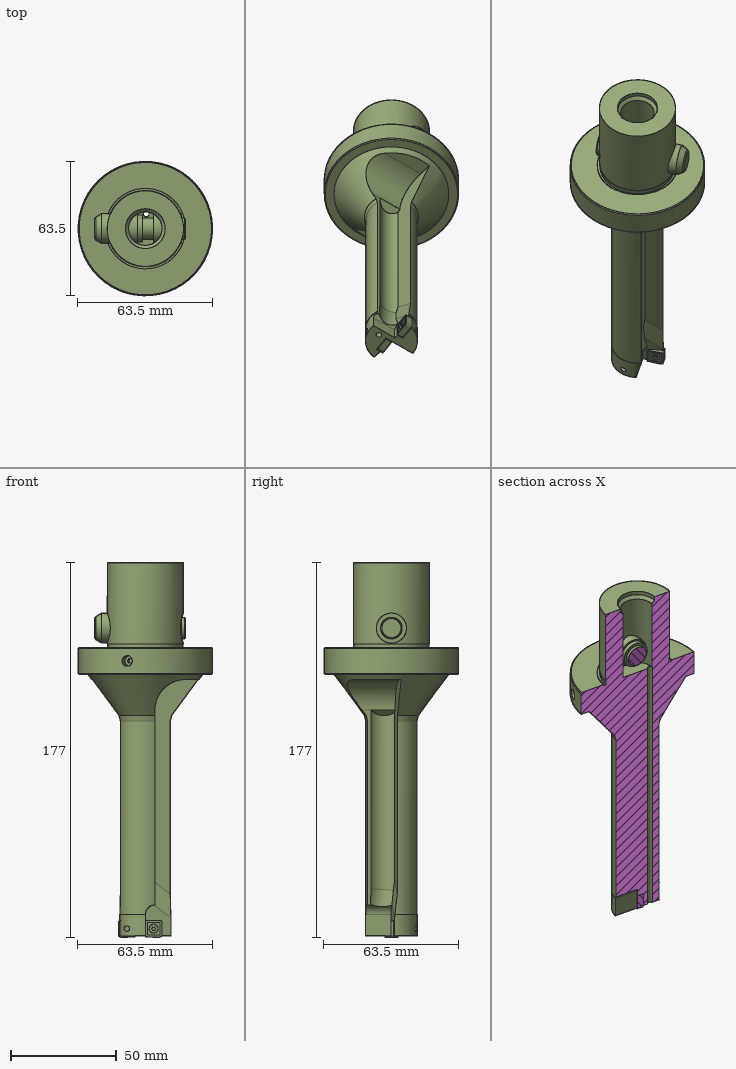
import cadquery as cq
import math

FAR = 60.0

coupling_radius = 18.0
coupling_height = 40.0
neck_radius = 17.8
neck_height = 1.6
face_groove_radius = 19.0
face_groove_depth = 0.6
bore_radius = 7.9
bore_mouth_radius = 9.4
bore_mouth_depth = 2.0
bore_floor_z = 0.0

flange_radius = 31.75
flange_thickness = 12.8
flange_chamfer = 0.5
cone_top_radius = 27.1
cone_bottom_radius = 12.8
cone_bottom_z = -32.1
shank_top_z = -34.7

shank_radius = 12.15
head_radius = 12.25
head_top_z = -126.2
tip_z = -136.2

flute_wall_x = 4.55
flute_top_z = -15.2
flute_runout_radius = 14.3
flute_floor_y = 1.1
flute_floor_slope = math.tan(math.radians(8.0))
ramp_top_z = -111.0
ramp_length = 11.0
ramp_rise = 1.3
ramp_skew = 0.76
channel_radius = 7.2
channel_depth = 3.4
channel_y = -3.5
channel_top_z = flute_top_z - flute_runout_radius
channel_end_drop = 2.7
channel_bend_z = -114.0
channel_side_shift = 1.7
channel_outward_shift = 1.6

inner_tip_wall_x = 0.0
inner_tip_pocket_z = -126.2
outer_tip_wall_x = 2.5
outer_tip_pocket_z = -129.6

coolant_radius = 1.3
coolant_x = 0.4
coolant_y = 6.9

set_screw_radius = 2.5
set_screw_angle = 15.7
set_screw_z = -6.4
set_hole_depth = 12.0
set_screw_length = 7.0
set_socket_size = 2.5
set_socket_depth = 2.0

pin_z = 9.1
pin_radius = 7.1
pin_left_x = -24.0
pin_tip_radius = 4.7
pin_tip_chamfer = 0.6
pin_cone_radius = 5.5
pin_cone_length = 3.4
pin_shoulder_x = -3.6
pin_stem_radius = 5.1
pin_right_x = 19.0
pin_stem_chamfer = 0.6
ring_width = 2.2
ring_radius = 6.4
bush_left_x = 3.8
bush_right_x = 17.0

insert_size = 7.8
insert_thickness = 3.3
insert_face_y = -0.2
insert_top_z = -128.9
insert_corner = 0.8
insert_peak = 0.3
insert_peak_place = 0.8
breaker_margin = 0.9
breaker_depth = 0.25
inner_insert_x = inner_tip_wall_x
outer_insert_reach = 12.6
insert_screw_radius = 1.3
insert_screw_head_radius = 2.1
insert_screw_head_height = 1.4
insert_screw_length = 6.5
insert_socket_size = 1.8
insert_socket_depth = 0.8


def half_turn(part):
    return part.rotate((0, 0, 0), (0, 0, 1), 180)


def turned_blank():
    """Coupling, flange, cone and drill shank, turned about Z."""
    return (
        cq.Workplane("XZ")
        .moveTo(0, coupling_height)
        .lineTo(coupling_radius, coupling_height)
        .lineTo(coupling_radius, neck_height)
        .lineTo(neck_radius, neck_height)
        .lineTo(neck_radius, -face_groove_depth)
        .lineTo(face_groove_radius, -face_groove_depth)
        .lineTo(face_groove_radius, 0)
        .lineTo(flange_radius - flange_chamfer, 0)
        .lineTo(flange_radius, -flange_chamfer)
        .lineTo(flange_radius, flange_chamfer - flange_thickness)
        .lineTo(flange_radius - flange_chamfer, -flange_thickness)
        .lineTo(cone_top_radius, -flange_thickness)
        .lineTo(cone_bottom_radius, cone_bottom_z)
        .lineTo(shank_radius, shank_top_z)
        .lineTo(shank_radius, head_top_z)
        .lineTo(head_radius, head_top_z)
        .lineTo(head_radius, tip_z)
        .lineTo(0, tip_z)
        .close()
        .revolve(360, (0, 0, 0), (0, 1, 0))
    )


def bore():
    """Stepped bore with a conical seat below its mouth."""
    seat_z = coupling_height - bore_mouth_depth
    return (
        cq.Workplane("XZ")
        .moveTo(0, coupling_height)
        .lineTo(bore_mouth_radius, coupling_height)
        .lineTo(bore_mouth_radius, seat_z)
        .lineTo(bore_radius, seat_z - (bore_mouth_radius - bore_radius))
        .lineTo(bore_radius, bore_floor_z)
        .lineTo(0, bore_floor_z)
        .close()
        .revolve(360, (0, 0, 0), (0, 1, 0))
    )


def flute_walls(tip_wall_x, tip_pocket_z):
    """Everything beyond the flute's wall, with its runout and the wider pocket at the tip."""
    runout_start_z = flute_top_z - flute_runout_radius
    diagonal = 1 - math.sqrt(0.5)
    roof_radius = flute_wall_x - tip_wall_x
    roof_top_z = tip_pocket_z + roof_radius
    return (
        cq.Workplane("XZ")
        .moveTo(FAR, flute_top_z)
        .lineTo(flute_wall_x + flute_runout_radius, flute_top_z)
        .threePointArc(
            (flute_wall_x + flute_runout_radius * diagonal, flute_top_z - flute_runout_radius * diagonal),
            (flute_wall_x, runout_start_z),
        )
        .lineTo(flute_wall_x, roof_top_z)
        .threePointArc(
            (tip_wall_x + roof_radius * diagonal, roof_top_z - roof_radius * diagonal),
            (tip_wall_x, tip_pocket_z),
        )
        .lineTo(tip_wall_x, tip_z)
        .lineTo(FAR, tip_z)
        .close()
        .extrude(FAR, both=True)
    )


def flute_channel():
    """Round channel sunk into the flute wall, sloping out on top and tilting away near the tip."""
    deepest_x = flute_wall_x - channel_depth
    center_x = deepest_x + channel_radius
    path = cq.Wire.makePolygon(
        [
            cq.Vector(center_x, channel_y, channel_top_z),
            cq.Vector(center_x, channel_y, channel_bend_z),
            cq.Vector(
                center_x + channel_outward_shift,
                channel_y - channel_side_shift,
                outer_tip_pocket_z,
            ),
        ]
    )
    round_bar = (
        cq.Workplane("XY", origin=(center_x, channel_y, channel_top_z))
        .circle(channel_radius)
        .sweep(cq.Workplane(path), transition="right")
    )
    sloped_end = (
        cq.Workplane("XZ")
        .moveTo(deepest_x, tip_z)
        .lineTo(deepest_x, channel_top_z - channel_end_drop)
        .lineTo(flute_wall_x, channel_top_z)
        .lineTo(FAR, channel_top_z)
        .lineTo(FAR, tip_z)
        .close()
        .extrude(FAR, both=True)
    )
    return round_bar.intersect(sloped_end)


def open_side(floor_y, slope_x, slope_z):
    """Block on the -Y side of a plane with the given height at the flute wall and ramp start."""
    plane = cq.Plane(
        origin=(flute_wall_x, floor_y, ramp_top_z), xDir=(1, slope_x, 0), normal=(slope_x, -1, slope_z)
    )
    return cq.Workplane(plane).rect(4 * FAR, 4 * FAR).extrude(2 * FAR)


def above_floor():
    """Everything on the open side of the tilted flute floor, which ramps up near the tip."""
    wall_floor_y = flute_floor_y + flute_floor_slope * flute_wall_x
    ramp_slope = ramp_rise / ramp_length
    upper = open_side(wall_floor_y, flute_floor_slope, 0)
    ramp = open_side(wall_floor_y, flute_floor_slope + ramp_skew * ramp_slope, ramp_slope)
    tip = open_side(wall_floor_y - ramp_rise, flute_floor_slope, 0)
    return upper.intersect(ramp.union(tip))


def flute(tip_wall_x, tip_pocket_z):
    return flute_walls(tip_wall_x, tip_pocket_z).union(flute_channel()).intersect(above_floor())


def coolant_hole():
    return (
        cq.Workplane("XY", origin=(coolant_x, coolant_y, tip_z))
        .circle(coolant_radius)
        .extrude(bore_floor_z - tip_z)
    )


def set_screw_cylinder(outer_end, length):
    """Cylinder on the flange hole's axis, running inwards from outer_end."""
    return (
        cq.Workplane("XZ", origin=(0, -outer_end, set_screw_z))
        .circle(set_screw_radius)
        .extrude(-length)
        .rotate((0, 0, 0), (0, 0, 1), -set_screw_angle)
    )


def make_set_screw():
    inner_end = flange_radius - set_hole_depth
    outer_end = inner_end + set_screw_length
    socket = (
        cq.Workplane("XZ", origin=(0, -outer_end, set_screw_z))
        .polygon(6, set_socket_size)
        .extrude(-set_socket_depth)
        .rotate((0, 0, 0), (0, 0, 1), -set_screw_angle)
    )
    return set_screw_cylinder(outer_end, set_screw_length).cut(socket)


def cross_cylinder(left_x, right_x, radius):
    return cq.Workplane("YZ", origin=(left_x, 0, pin_z)).circle(radius).extrude(right_x - left_x)


def make_pin():
    """Cross pin with a coned head at -X and a slimmer stem towards +X."""
    return (
        cq.Workplane("XZ")
        .moveTo(pin_left_x, pin_z)
        .lineTo(pin_left_x, pin_z + pin_tip_radius)
        .lineTo(pin_left_x + pin_tip_chamfer, pin_z + pin_cone_radius)
        .lineTo(pin_left_x + pin_cone_length, pin_z + pin_radius)
        .lineTo(pin_shoulder_x, pin_z + pin_radius)
        .lineTo(pin_shoulder_x, pin_z + pin_stem_radius)
        .lineTo(pin_right_x - pin_stem_chamfer, pin_z + pin_stem_radius)
        .lineTo(pin_right_x, pin_z + pin_stem_radius - pin_stem_chamfer)
        .lineTo(pin_right_x, pin_z)
        .close()
        .revolve(360, (0, pin_z, 0), (1, pin_z, 0))
    )


def make_ring():
    ring_right_x = pin_shoulder_x + ring_width
    hole = cross_cylinder(pin_shoulder_x, ring_right_x, pin_stem_radius)
    return cross_cylinder(pin_shoulder_x, ring_right_x, ring_radius).cut(hole)


def make_bush():
    hole = cross_cylinder(bush_left_x, bush_right_x, pin_stem_radius)
    return cross_cylinder(bush_left_x, bush_right_x, pin_radius).cut(hole)


def insert_blank(left_x):
    """Insert for the +X flute, cutting face towards -Y and a peaked edge at the tip."""
    right_x = left_x + insert_size
    edge_z = insert_top_z - insert_size
    return (
        cq.Workplane("XZ", origin=(0, insert_face_y, 0))
        .moveTo(left_x, insert_top_z)
        .lineTo(right_x, insert_top_z)
        .lineTo(right_x, edge_z)
        .lineTo(left_x + insert_peak_place * insert_size, edge_z - insert_peak)
        .lineTo(left_x, edge_z)
        .close()
        .extrude(-insert_thickness)
        .edges("|Y and (>Z or >X)")
        .fillet(insert_corner)
    )


def insert_screw_shape(left_x, length):
    """Countersunk screw on the insert's axis, its head flush with the chip breaker floor."""
    head_y = insert_face_y + breaker_depth
    neck_y = head_y + insert_screw_head_height
    center_x = left_x + insert_size / 2
    return (
        cq.Workplane("XY", origin=(center_x, 0, insert_top_z - insert_size / 2))
        .moveTo(0, head_y)
        .lineTo(insert_screw_head_radius, head_y)
        .lineTo(insert_screw_radius, neck_y)
        .lineTo(insert_screw_radius, head_y + length)
        .lineTo(0, head_y + length)
        .close()
        .revolve(360, (0, 0, 0), (0, 1, 0))
    )


def make_insert(left_x):
    breaker_size = insert_size - 2 * breaker_margin
    breaker = (
        cq.Workplane("XZ", origin=(left_x + insert_size / 2, insert_face_y, insert_top_z - insert_size / 2))
        .rect(breaker_size, breaker_size)
        .extrude(-breaker_depth)
    )
    return insert_blank(left_x).cut(breaker).cut(insert_screw_shape(left_x, FAR))


def make_insert_screw(left_x):
    socket = (
        cq.Workplane(
            "XZ",
            origin=(left_x + insert_size / 2, insert_face_y + breaker_depth, insert_top_z - insert_size / 2),
        )
        .polygon(6, insert_socket_size)
        .extrude(-insert_socket_depth)
    )
    return insert_screw_shape(left_x, insert_screw_length).cut(socket)


def insert_seat(left_x):
    """Recess for an insert together with the through hole of its screw."""
    return insert_blank(left_x).union(insert_screw_shape(left_x, FAR))


outer_insert_x = outer_insert_reach - insert_size

holder = turned_blank().cut(bore()).cut(coolant_hole())
holder = holder.cut(cross_cylinder(-FAR, FAR, pin_radius))
holder = holder.cut(set_screw_cylinder(FAR, FAR - flange_radius + set_hole_depth))
holder = holder.cut(flute(inner_tip_wall_x, inner_tip_pocket_z))
holder = holder.cut(half_turn(flute(outer_tip_wall_x, outer_tip_pocket_z)))
holder = holder.cut(insert_seat(inner_insert_x)).cut(half_turn(insert_seat(outer_insert_x)))

inner_insert = make_insert(inner_insert_x)
outer_insert = half_turn(make_insert(outer_insert_x))
inner_insert_screw = make_insert_screw(inner_insert_x)
outer_insert_screw = half_turn(make_insert_screw(outer_insert_x))
pin = make_pin()
ring = make_ring()
bush = make_bush()
set_screw = make_set_screw()

result = cq.Compound.makeCompound(
    [
        holder.val(),
        inner_insert.val(),
        outer_insert.val(),
        inner_insert_screw.val(),
        outer_insert_screw.val(),
        pin.val(),
        ring.val(),
        bush.val(),
        set_screw.val(),
    ]
)